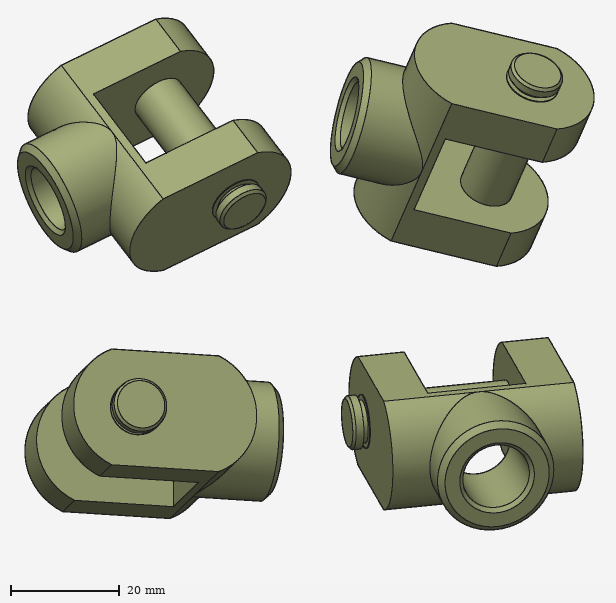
import cadquery as cq

fork_width = 36.0
fork_height = 22.0
end_radius = 12.0
base_reach = 22.8
slot_width = 18.55
slot_depth_from_pin = 14.0

neck_diameter = fork_height
neck_reach = 30.0
neck_chamfer = 1.15
bore_diameter = 12.6
bore_chamfer = 0.75

pin_length = 42.4
pin_diameter = 10.0
pin_chamfer = 0.5
head_length = 2.0
groove_diameter = 8.0
shank_protrusion = 0.15


def x_cylinder(diameter, length, start):
    """Cylinder along +X on the pin axis, beginning at x = start."""
    return cq.Workplane("YZ").workplane(offset=start).circle(diameter / 2).extrude(length)


def make_fork_block():
    """Flat-sided bar with a rounded tip and a rounded base."""
    base_centre = end_radius - base_reach
    half_height = fork_height / 2
    tip_flat = (end_radius**2 - half_height**2) ** 0.5
    base_flat = base_centre - tip_flat
    return (
        cq.Workplane("YZ")
        .moveTo(base_flat, half_height)
        .lineTo(tip_flat, half_height)
        .threePointArc((end_radius, 0), (tip_flat, -half_height))
        .lineTo(base_flat, -half_height)
        .threePointArc((-base_reach, 0), (base_flat, half_height))
        .close()
        .extrude(fork_width / 2, both=True)
    )


def make_neck():
    """Round neck from the slot floor to the chamfered front face."""
    return (
        cq.Workplane("XZ", origin=(0, -slot_depth_from_pin, 0))
        .circle(neck_diameter / 2)
        .extrude(neck_reach - slot_depth_from_pin)
        .faces("<Y")
        .chamfer(neck_chamfer)
    )


def make_fork():
    slot_length = slot_depth_from_pin + end_radius
    slot = cq.Workplane("XY").box(slot_width, slot_length, fork_height, centered=(True, False, True))
    slot = slot.translate((0, -slot_depth_from_pin, 0))
    bore = cq.Workplane("XZ").circle(bore_diameter / 2).extrude(neck_reach)
    pin_hole = x_cylinder(pin_diameter, fork_width, -fork_width / 2)
    fork = make_fork_block().union(make_neck()).cut(slot).cut(bore)
    bore_rim = cq.selectors.RadiusNthSelector(0)
    fork = fork.faces("<Y").edges(bore_rim).chamfer(bore_chamfer)
    return fork.cut(pin_hole)


def make_pin():
    pin = x_cylinder(pin_diameter, pin_length, -pin_length / 2)
    pin = pin.faces("<X or >X").chamfer(pin_chamfer)
    groove_start = fork_width / 2 + shank_protrusion
    groove_width = pin_length / 2 - head_length - groove_start
    for start in (groove_start, -groove_start - groove_width):
        ring = x_cylinder(pin_diameter, groove_width, start)
        core = x_cylinder(groove_diameter, groove_width, start)
        pin = pin.cut(ring.cut(core))
    return pin


fork = make_fork()
pin = make_pin()
result = cq.Compound.makeCompound([fork.solids().val(), pin.solids().val()])